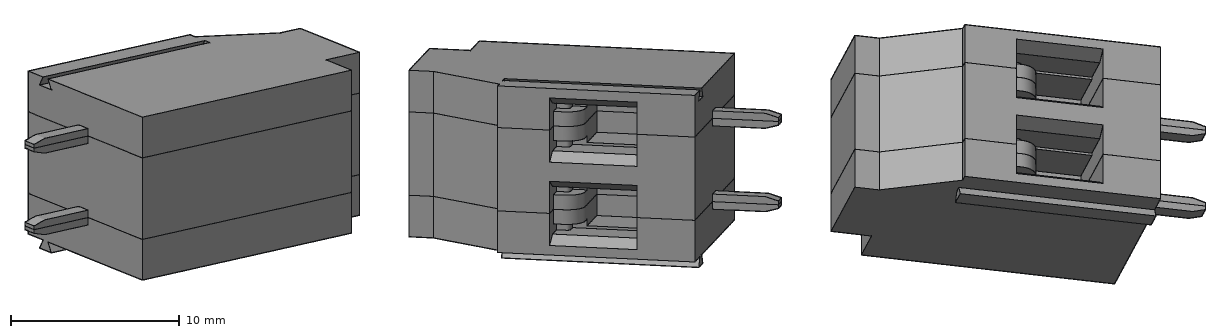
import cadquery as cq


overall_length = 22
overall_height = 10.75

pole_pitch = 5.08
pole_planes = (-pole_pitch / 2, pole_pitch / 2)
block_height = 2 * pole_pitch
block_top = block_height / 2
block_width = 11.35
block_length = 18.0

shoulder_y = 12.0
shoulder_step = 0.5
slope_end_y = 16.5
nose_x_min = 2.93
nose_x_max = 8.82
back_step_y = 15.5

dovetail_x = 1.72
dovetail_depth = overall_height - block_height
dovetail_half_width = 0.6
dovetail_half_neck = 0.25

pin_x = 5.5
pin_size = 0.92
pin_length = overall_length - block_length
pin_taper_length = 0.8
pin_tip_thickness = 0.46

window_y_min = 3.52
window_y_max = 8.82
window_mouth_height = 3.92
window_height = 2.9
funnel_depth = 0.84
window_depth = 2.75

guide_flat = 0.6
guide_x = 1.1
rib_thickness = 1.78
rib_radius = 1.1
backing_radius = 0.22

recess_height = 2.6
recess_end_x = pin_x

rounding_x = guide_x + rib_radius
rounding_y = window_y_max - guide_flat


def box(x_range, y_range, z_range):
    """Axis-aligned box between three pairs of limits."""
    (x0, x1), (y0, y1), (z0, z1) = x_range, y_range, z_range
    return cq.Workplane("XY").box(x1 - x0, y1 - y0, z1 - z0, centered=False).translate((x0, y0, z0))


def centred_range(middle, size):
    return (middle - size / 2, middle + size / 2)


def make_block():
    outline = [
        (0, 0),
        (block_width, 0),
        (block_width, back_step_y),
        (nose_x_max, back_step_y),
        (nose_x_max, block_length),
        (nose_x_min, block_length),
        (nose_x_min, slope_end_y),
        (shoulder_step, shoulder_y),
        (0, shoulder_y),
    ]
    return cq.Workplane("XY", origin=(0, 0, -block_top)).polyline(outline).close().extrude(block_height)


def make_dovetail(neck_z):
    """Dovetail prism that widens downwards from its neck."""
    base_z = neck_z - dovetail_depth
    section = [
        (dovetail_x - dovetail_half_neck, neck_z),
        (dovetail_x + dovetail_half_neck, neck_z),
        (dovetail_x + dovetail_half_width, base_z),
        (dovetail_x - dovetail_half_width, base_z),
    ]
    return cq.Workplane("XZ").polyline(section).close().extrude(-shoulder_y)


def make_pin(pole_z):
    """Square pin whose two Z faces taper towards the tip."""
    half = pin_size / 2
    half_tip = pin_tip_thickness / 2
    taper_y = pin_taper_length - pin_length
    side = [
        (0, pole_z - half),
        (0, pole_z + half),
        (taper_y, pole_z + half),
        (-pin_length, pole_z + half_tip),
        (-pin_length, pole_z - half_tip),
        (taper_y, pole_z - half),
    ]
    start = (pin_x - pin_size / 2, 0, 0)
    return cq.Workplane("YZ", origin=start).polyline(side).close().extrude(pin_size)


def make_guide(pole_z, radius, thickness):
    """Part of the wire guide: flat front, quarter-round, then straight to the window back."""
    front_x = rounding_x - radius
    return (
        cq.Workplane("XY", origin=(0, 0, pole_z - thickness / 2))
        .moveTo(front_x, window_y_max)
        .lineTo(front_x, rounding_y)
        .radiusArc((rounding_x, rounding_y - radius), -radius)
        .lineTo(window_depth, rounding_y - radius)
        .lineTo(window_depth, window_y_max)
        .close()
        .extrude(thickness)
    )


def make_wire_opening(pole_z):
    """Everything removed from the block at one pole."""
    half = window_height / 2
    half_mouth = window_mouth_height / 2
    section = [
        (0, pole_z - half_mouth),
        (funnel_depth, pole_z - half),
        (window_depth, pole_z - half),
        (window_depth, pole_z + half),
        (funnel_depth, pole_z + half),
        (0, pole_z + half_mouth),
    ]
    start = (0, window_y_min, 0)
    window = (
        cq.Workplane("XZ", origin=start).polyline(section).close().extrude(window_y_min - window_y_max)
    )
    rib = make_guide(pole_z, rib_radius, rib_thickness)
    backing = make_guide(pole_z, backing_radius, window_height)
    recess = box(
        (window_depth, recess_end_x),
        (window_y_min, rounding_y - rib_radius),
        centred_range(pole_z, recess_height),
    )
    return window.cut(rib).cut(backing).union(recess)


def make_terminal():
    """The complete terminal shape before it is split into layers."""
    terminal = make_block().cut(make_dovetail(block_top)).union(make_dovetail(-block_top))
    for pole_z in pole_planes:
        terminal = terminal.cut(make_wire_opening(pole_z)).union(make_pin(pole_z))
    return terminal


def make_layer(terminal, z_min, z_max):
    """The stretch of the terminal between two heights."""
    slab = box((0, block_width), (-pin_length, block_length), (z_min, z_max))
    return terminal.intersect(slab).solids()


terminal = make_terminal()
lower_pole, upper_pole = pole_planes

rail_end = make_layer(terminal, -block_top - dovetail_depth, lower_pole)
middle = make_layer(terminal, lower_pole, upper_pole)
groove_end = make_layer(terminal, upper_pole, block_top)

result = cq.Compound.makeCompound([rail_end.val(), middle.val(), groove_end.val()])